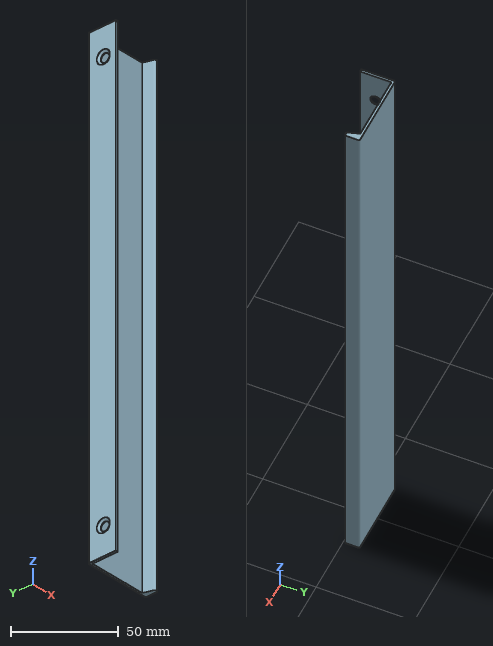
import cadquery as cq
import math

length = 290.0
width = 40.0
depth = 17.5

plate_thickness = 1.5
flange_thickness = 1.5
corner_radius = 1.0
lip_depth = 7.8
lip_root_width = 4.0
lip_tip_radius = 1.2

hole_spacing = 256.0
hole_to_back = 9.5
hole_diameter = 5.2
countersink_diameter = 8.0
countersink_depth = 1.2

left = -width / 2
right = width / 2
front = -depth / 2
back = depth / 2
plate_front = back - plate_thickness
lip_front = back - lip_depth


def make_profile():
    """Extrude the plate with its mounting flange and tapered, round-tipped grip lip."""
    root_x = right - lip_root_width
    tip_x = right - lip_tip_radius
    tip_y = lip_front + lip_tip_radius

    to_root = math.atan2(plate_front - tip_y, root_x - tip_x)
    root_distance = math.hypot(plate_front - tip_y, root_x - tip_x)
    tangent_angle = to_root + math.acos(lip_tip_radius / root_distance)
    tangent_point = (
        tip_x + lip_tip_radius * math.cos(tangent_angle),
        tip_y + lip_tip_radius * math.sin(tangent_angle),
    )

    outline = (
        cq.Workplane("XY")
        .workplane(offset=-length / 2)
        .moveTo(left, back)
        .lineTo(left, front)
        .lineTo(left + flange_thickness, front)
        .lineTo(left + flange_thickness, plate_front)
        .lineTo(root_x, plate_front)
        .lineTo(*tangent_point)
        .threePointArc((tip_x, lip_front), (right, tip_y))
        .lineTo(right, back)
        .close()
    )
    back_corners = cq.selectors.BoxSelector(
        (left - corner_radius, back - corner_radius / 2, -length),
        (right + corner_radius, back + corner_radius / 2, length),
    )
    return outline.extrude(length).edges("|Z").edges(back_corners).fillet(corner_radius)


def make_hole_cutter(z):
    """Through hole with a countersink opening on the outer flange face."""
    hole_radius = hole_diameter / 2
    start = cq.Vector(left, back - hole_to_back, z)
    inward = cq.Vector(1, 0, 0)
    bore = cq.Solid.makeCylinder(hole_radius, flange_thickness, start, inward)
    countersink = cq.Solid.makeCone(
        countersink_diameter / 2, hole_radius, countersink_depth, start, inward
    )
    return bore.fuse(countersink)


result = make_profile()
for hole_z in (-hole_spacing / 2, hole_spacing / 2):
    result = result.cut(make_hole_cutter(hole_z))